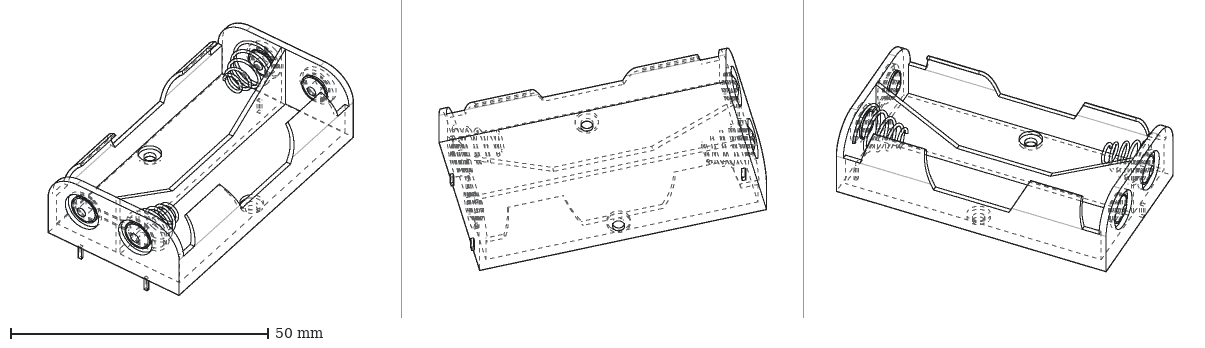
import cadquery as cq
import math


total_length = 58.0
contact_protrusion = 0.2
length = total_length - 2 * contact_protrusion
width = 31.5
height = 16.0
end_wall = 1.5
side_wall = 1.0
floor_thickness = 1.8
corner_radius = 6.9
shoulder_height = height - corner_radius
half_length = length / 2
half_width = width / 2
inner_half_length = half_length - end_wall

tab_top = 14.9
notch_floor = 7.8
notch_half_length = 8.05
tab_top_start = 11.35
tab_top_end = 22.2
tab_foot_end = 23.7
tab_tip_angle = 56.0
tab_tip_thickness = 0.65

divider_thickness = 1.0
divider_low_height = 5.8
divider_low_half_length = 10.0

screw_hole_diameter = 2.4
screw_head_diameter = 4.6
screw_head_depth = 0.8
screw_offset = 12.25

contact_height = 9.55
contact_outer_x = 7.6
contact_inner_x = 5.2
recess_diameter = 8.0
recess_depth = 1.0
flange_diameter = 6.0
flange_thickness = 0.35
dome_diameter = 5.35
rivet_hole_diameter = 2.0
contact_tip_depth = 1.15
connector_height = 1.75

spring_x = 6.2
wire_diameter = 0.6
spring_pitch = 2.05
spring_turns = 4
spring_base_radius = 5.0
spring_tip_radius = 2.0
spring_base_gap = 0.2
spring_length = spring_pitch * spring_turns

pin_length = 3.0
pin_width = 0.75
front_pin_thickness = 0.6
front_pin_y = -28.3
front_pin_xs = (-8.3, 7.55)
rear_pin_x = -5.45
rear_pin_y = 26.9


def box(x_min, x_max, y_min, y_max, z_min, z_max):
    """Return a block given by its limits."""
    return (
        cq.Workplane("XY")
        .box(x_max - x_min, y_max - y_min, z_max - z_min, centered=False)
        .translate((x_min, y_min, z_min))
    )


def make_end_wall(direction):
    """Return an end wall with rounded upper corners; direction is +1 at the rear, -1 at the front."""
    wall = box(-half_width, half_width, inner_half_length, half_length, 0, height)
    wall = wall.edges("|Y and >Z").fillet(corner_radius)
    return wall if direction > 0 else wall.mirror("XZ")


def make_side_wall():
    """Return the left side wall with its two tabs curling in over the cell."""
    angle = math.radians(tab_tip_angle)
    arc_center_x = -half_width + corner_radius
    inner_x = -half_width + side_wall
    tip_radius = corner_radius - tab_tip_thickness

    def arc_point(radius, at_angle):
        return (
            arc_center_x - radius * math.cos(at_angle),
            shoulder_height + radius * math.sin(at_angle),
        )

    middle_radius = corner_radius - (side_wall + tab_tip_thickness) / 2
    section = (
        cq.Workplane("XZ")
        .moveTo(-half_width, 0)
        .lineTo(-half_width, shoulder_height)
        .threePointArc(arc_point(corner_radius, angle / 2), arc_point(corner_radius, angle))
        .lineTo(*arc_point(tip_radius, angle))
        .threePointArc(arc_point(middle_radius, angle / 2), (inner_x, shoulder_height))
        .lineTo(inner_x, 0)
        .close()
        .extrude(inner_half_length, both=True)
    )
    side_outline = (
        cq.Workplane("YZ")
        .moveTo(-inner_half_length, 0)
        .lineTo(-inner_half_length, shoulder_height)
        .lineTo(-tab_foot_end, shoulder_height)
        .lineTo(-tab_top_end, tab_top)
        .lineTo(-tab_top_start, tab_top)
        .lineTo(-notch_half_length, notch_floor)
        .lineTo(notch_half_length, notch_floor)
        .lineTo(tab_top_start, tab_top)
        .lineTo(tab_top_end, tab_top)
        .lineTo(tab_foot_end, shoulder_height)
        .lineTo(inner_half_length, shoulder_height)
        .lineTo(inner_half_length, 0)
        .close()
        .extrude(half_width, both=True)
    )
    return section.intersect(side_outline)


def make_divider():
    """Return the wall between the cells, low in the middle and rising to the end walls."""
    return (
        cq.Workplane("YZ")
        .moveTo(-inner_half_length, 0)
        .lineTo(-inner_half_length, height)
        .lineTo(-divider_low_half_length, divider_low_height)
        .lineTo(divider_low_half_length, divider_low_height)
        .lineTo(inner_half_length, height)
        .lineTo(inner_half_length, 0)
        .close()
        .extrude(divider_thickness / 2, both=True)
    )


def make_rivet_half(flange_base, tip):
    """Return a flange and dome around the Y axis, from flange_base out to tip."""
    direction = math.copysign(1, tip - flange_base)
    flange_face = flange_base + direction * flange_thickness
    rise = tip - flange_face
    outer = dome_diameter / 2
    inner = rivet_hole_diameter / 2
    center = (rise**2 + inner**2 - outer**2) / (2 * rise)
    radius = math.hypot(outer, center)
    middle_x = (outer + inner) / 2
    middle_y = flange_face + center + direction * math.sqrt(radius**2 - middle_x**2)
    return (
        cq.Workplane("XY")
        .moveTo(0, flange_base)
        .lineTo(flange_diameter / 2, flange_base)
        .lineTo(flange_diameter / 2, flange_face)
        .lineTo(outer, flange_face)
        .threePointArc((middle_x, middle_y), (inner, tip))
        .lineTo(0, tip)
        .close()
        .revolve(360, (0, 0), (0, 1))
    )


def add_contact(body, x, direction):
    """Sink a recess into an end wall and rivet a holed contact through it."""

    def cylinder(diameter, y_start, y_end):
        return cq.Workplane("XZ", origin=(0, y_start, 0)).circle(diameter / 2).extrude(y_start - y_end)

    recess_floor = half_length - recess_depth
    outer_tip = half_length + contact_protrusion
    inner_tip = inner_half_length - contact_tip_depth
    recess = cylinder(recess_diameter, recess_floor, outer_tip)
    rivet = make_rivet_half(recess_floor, outer_tip).union(make_rivet_half(inner_half_length, inner_tip))
    hole = cylinder(rivet_hole_diameter, inner_tip, outer_tip)

    def place(shape):
        placed = shape if direction > 0 else shape.mirror("XZ")
        return placed.translate((x, 0, contact_height))

    return body.cut(place(recess)).union(place(rivet)).cut(place(hole))


def make_spring(direction):
    """Return a conical spring on an end wall, narrowing to a flat half turn at its tip."""
    taper = math.atan((spring_base_radius - spring_tip_radius) / spring_length)
    path = cq.Wire.makeHelix(
        spring_pitch / math.cos(taper),
        spring_length / math.cos(taper),
        spring_tip_radius,
        cq.Vector(0, 0, 0),
        cq.Vector(0, 0, 1),
        math.degrees(taper),
    )
    wire_radius = wire_diameter / 2
    start = cq.Workplane("XZ", origin=(spring_tip_radius, 0, 0))
    coil = start.circle(wire_radius).sweep(cq.Workplane(path), isFrenet=True)
    flat_turn = start.circle(wire_radius).revolve(180, (-spring_tip_radius, 0), (-spring_tip_radius, -1))
    spring = coil.union(flat_turn)
    spring = spring.rotate((0, 0, 0), (1, 0, 0), -90)
    spring = spring.translate((0, inner_half_length - spring_base_gap - spring_length, 0))
    if direction < 0:
        spring = spring.mirror("XZ")
    return spring.translate((-direction * spring_x, 0, contact_height))


def make_pin(x, y, thickness):
    """Return a solder pin below the housing."""
    return cq.Workplane("XY", origin=(x, y, 0)).rect(pin_width, thickness).extrude(-pin_length)


floor = box(-half_width, half_width, -inner_half_length, inner_half_length, 0, floor_thickness)
left_wall = make_side_wall()
result = floor.union(left_wall).union(left_wall.mirror("YZ")).union(make_divider())
for end in (1, -1):
    result = result.union(make_end_wall(end))

result = (
    result.copyWorkplane(cq.Workplane("XY", origin=(0, 0, floor_thickness)))
    .pushPoints([(-screw_offset, 0), (screw_offset, 0)])
    .cboreHole(screw_hole_diameter, screw_head_diameter, screw_head_depth)
)

connector = box(
    -contact_outer_x,
    contact_inner_x,
    -inner_half_length,
    -inner_half_length + flange_thickness,
    contact_height - connector_height / 2,
    contact_height + connector_height / 2,
)
result = result.union(connector)

for end in (1, -1):
    result = add_contact(result, end * contact_outer_x, end)
    result = add_contact(result, -end * contact_inner_x, end)
    result = result.union(make_spring(end))

for pin_x in front_pin_xs:
    result = result.union(make_pin(pin_x, front_pin_y, front_pin_thickness))
result = result.union(make_pin(rear_pin_x, rear_pin_y, pin_width))